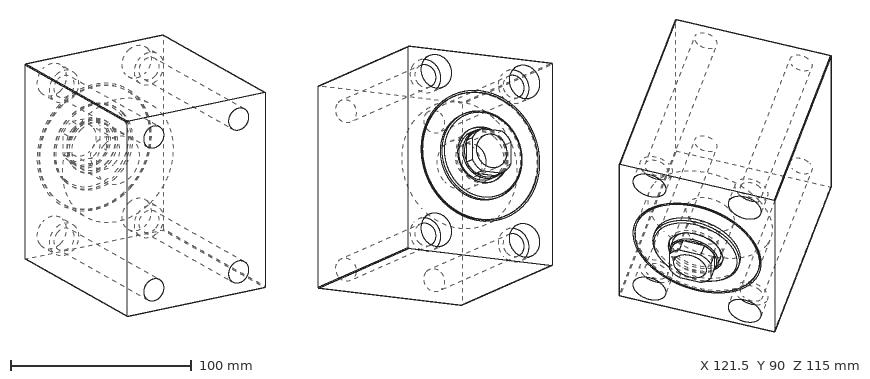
import cadquery as cq
import math

BLOCK_LENGTH = 108.0
BLOCK_WIDTH = 90.0
BLOCK_HEIGHT = 115.0
BLOCK_EDGE_CHAMFER = 0.5

SCREW_SPACING_Y = 55.0
SCREW_SPACING_Z = 90.0
SCREW_HOLE_DIAMETER = 13.0
SCREW_HEAD_DIAMETER = 19.0
SCREW_HEAD_DEPTH = 13.0

GLAND_DIAMETER = 72.0
GLAND_DEPTH = 25.0
BORE_CHAMFER = 1.0
COLLAR_DIAMETER = 50.0
COLLAR_HEIGHT = 3.0
COLLAR_CHAMFER = 1.0
WIPER_RECESS_DIAMETER = 31.5
WIPER_RECESS_DEPTH = 2.0

ROD_DIAMETER = 28.0
ROD_SHOULDER_CHAMFER = 0.7
ROD_PROTRUSION = 13.5
HEAD_LENGTH = 7.0
HEAD_ROUND_DIAMETER = 27.0
HEAD_ACROSS_FLATS = 24.0
ROD_HOLE_DIAMETER = 19.0
ROD_HOLE_DEPTH = 25.0
DRILL_TIP_ANGLE = 118.0


def cylinder(diameter, start_x, end_x):
    """Solid cylinder about the X axis between two X positions."""
    return cq.Workplane("YZ", origin=(start_x, 0, 0)).circle(diameter / 2).extrude(end_x - start_x)


def cone(diameter, start_x, depth, end_diameter=0.0):
    """Solid cone or frustum about the X axis that runs from start_x toward +X."""
    solid = cq.Solid.makeCone(
        diameter / 2, end_diameter / 2, depth, cq.Vector(start_x, 0, 0), cq.Vector(1, 0, 0)
    )
    return cq.Workplane(solid)


def make_housing():
    block = (
        cq.Workplane("XY")
        .box(BLOCK_LENGTH, BLOCK_WIDTH, BLOCK_HEIGHT, centered=(False, True, True))
        .edges("|X")
        .chamfer(BLOCK_EDGE_CHAMFER)
    )

    block = block.cut(cylinder(GLAND_DIAMETER, 0, GLAND_DEPTH))
    mouth_diameter = GLAND_DIAMETER + 2 * BORE_CHAMFER
    block = block.cut(cone(mouth_diameter, 0, BORE_CHAMFER, GLAND_DIAMETER))

    for y in (-SCREW_SPACING_Y / 2, SCREW_SPACING_Y / 2):
        for z in (-SCREW_SPACING_Z / 2, SCREW_SPACING_Z / 2):
            position = (0, y, z)
            block = block.cut(cylinder(SCREW_HOLE_DIAMETER, 0, BLOCK_LENGTH).translate(position))
            block = block.cut(cylinder(SCREW_HEAD_DIAMETER, 0, SCREW_HEAD_DEPTH).translate(position))
    return block


def make_gland():
    plug = cylinder(GLAND_DIAMETER, 0, GLAND_DEPTH)
    collar = cylinder(COLLAR_DIAMETER, -COLLAR_HEIGHT, 0).faces("<X").chamfer(COLLAR_CHAMFER)
    gland = plug.union(collar)

    gland = gland.cut(cylinder(ROD_DIAMETER, -COLLAR_HEIGHT, GLAND_DEPTH))
    recess_floor_x = WIPER_RECESS_DEPTH - COLLAR_HEIGHT
    return gland.cut(cylinder(WIPER_RECESS_DIAMETER, -COLLAR_HEIGHT, recess_floor_x))


def make_rod():
    tip_x = -ROD_PROTRUSION
    shoulder_x = tip_x + HEAD_LENGTH
    shank = cylinder(ROD_DIAMETER, shoulder_x, GLAND_DEPTH).faces("<X").chamfer(ROD_SHOULDER_CHAMFER)

    square = (
        cq.Workplane("YZ", origin=(tip_x, 0, 0))
        .rect(HEAD_ACROSS_FLATS, HEAD_ACROSS_FLATS)
        .extrude(HEAD_LENGTH)
    )
    head = cylinder(HEAD_ROUND_DIAMETER, tip_x, shoulder_x).intersect(square)
    rod = shank.union(head)

    hole_end_x = tip_x + ROD_HOLE_DEPTH
    drill_tip_depth = ROD_HOLE_DIAMETER / 2 / math.tan(math.radians(DRILL_TIP_ANGLE / 2))
    rod = rod.cut(cylinder(ROD_HOLE_DIAMETER, tip_x, hole_end_x))
    return rod.cut(cone(ROD_HOLE_DIAMETER, hole_end_x, drill_tip_depth))


housing = make_housing()
gland = make_gland()
rod = make_rod()

result = cq.Compound.makeCompound([housing.val(), gland.val(), rod.val()])